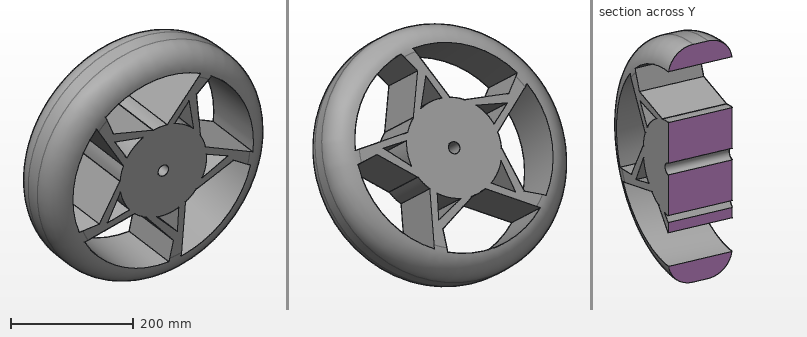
import cadquery as cq

wheel_diameter = 432.0
wheel_width = 120.0
tread_width = 27.5
rim_inner_radius = 176.0
hub_radius = 84.5
axle_diameter = 20.5
spoke_count = 5

shoulder_radius = (wheel_width - tread_width) / 2

spoke_outline = [
    (185.2, -24.0),
    (82.0, 19.0),
    (43.0, 0.0),
    (64.8, -55.3),
    (137.5, -23.7),
    (178.5, -48.5),
]

fork_opening = [
    (126.0, -12.0),
    (72.5, 9.0),
    (67.5, -42.0),
]


def extrude_across(sketch):
    """Extrude a sketch in the YZ plane over the full wheel width."""
    return sketch.extrude(wheel_width / 2, both=True)


def disc(radius):
    return extrude_across(cq.Workplane("YZ").circle(radius))


def make_spoke():
    legs = extrude_across(cq.Workplane("YZ").polyline(spoke_outline).close())
    opening = extrude_across(cq.Workplane("YZ").polyline(fork_opening).close())
    return legs.cut(opening)


wheel = disc(wheel_diameter / 2).cut(disc(rim_inner_radius))
spoke = make_spoke()
for index in range(spoke_count):
    angle = index * 360 / spoke_count
    wheel = wheel.union(spoke.rotate((0, 0, 0), (1, 0, 0), angle))
wheel = wheel.union(disc(hub_radius))

rounded_envelope = disc(wheel_diameter / 2).edges("%CIRCLE").fillet(shoulder_radius)
wheel = wheel.intersect(rounded_envelope)

result = wheel.cut(disc(axle_diameter / 2))